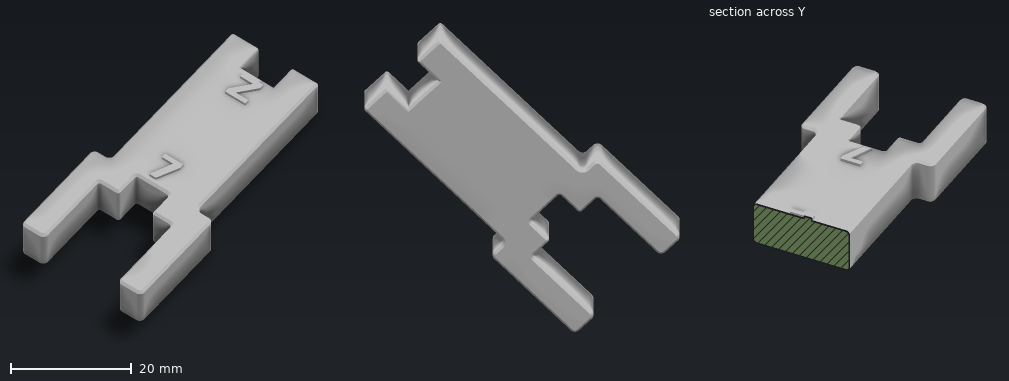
import cadquery as cq
import math

plate_thickness = 8.0
total_length = 53.6
handle_width = 18.0

fork_width = 25.0
fork_length = 20.0
fork_gap_width = 15.2
fork_gap_depth = 15.0

inner_slot_width = 6.9
inner_slot_depth = 4.8
end_slot_width = 6.8
end_slot_depth = 5.1

edge_chamfer = 0.45
arm_corner_radius = 1.0
shoulder_radius = 1.0
small_corner_radius = 0.5
end_slot_edge_radius = 0.65
slot_mouth_radius = 0.45

mark_height = 0.5
mark_size = 5.0
mark_stroke = 0.9
mark_diagonal_width = 1.5
mark_left = -2.05
seven_base = 20.9
seven_top_width = 3.8
seven_foot_left = 0.5
seven_foot_width = 1.35
letter_base = 42.4
letter_width = 4.2

inner_slot_end = fork_gap_depth + inner_slot_depth
end_slot_start = total_length - end_slot_depth


def centred_block(width, y_start, y_end):
    """Full-thickness block, symmetric about X = 0."""
    block = cq.Workplane("XY", origin=(0, y_start, 0))
    return block.box(width, y_end - y_start, plate_thickness, centered=(True, False, False))


def corner_edges(half_width, y):
    """Select the two upright edges mirrored about X = 0, by their midpoints."""
    reach = 0.1

    def box_around(x):
        low = (x - reach, y - reach, 0)
        high = (x + reach, y + reach, plate_thickness)
        return cq.selectors.BoxSelector(low, high)

    return box_around(-half_width) + box_around(half_width)


def make_plate():
    """Handle and fork with rounded upright corners and bevelled faces, without the end slot."""
    plate = centred_block(handle_width, fork_gap_depth, total_length)
    plate = plate.union(centred_block(fork_width, 0, fork_length))
    plate = plate.cut(centred_block(fork_gap_width, 0, fork_gap_depth))
    plate = plate.cut(centred_block(inner_slot_width, 0, inner_slot_end))
    rounded_corners = (
        (fork_width, 0, arm_corner_radius),
        (fork_gap_width, 0, arm_corner_radius),
        (fork_width, fork_length, arm_corner_radius),
        (handle_width, fork_length, shoulder_radius),
        (fork_gap_width, fork_gap_depth, small_corner_radius),
        (inner_slot_width, fork_gap_depth, small_corner_radius),
        (inner_slot_width, inner_slot_end, small_corner_radius),
        (handle_width, total_length, small_corner_radius),
    )
    for width, y, radius in rounded_corners:
        plate = plate.edges(corner_edges(width / 2, y)).fillet(radius)
    return plate.faces("<Z or >Z").edges().chamfer(edge_chamfer)


def make_end_slot_cutter():
    """Slot volume whose side walls round out, and whose floor bevels out, to both faces."""
    half_width = end_slot_width / 2
    mouth_half_width = half_width + end_slot_edge_radius
    wall_top = plate_thickness - end_slot_edge_radius
    wall_bottom = end_slot_edge_radius
    bend = end_slot_edge_radius * (1 - math.sqrt(0.5))
    cross_section = (
        cq.Workplane("XZ", origin=(0, total_length, 0))
        .moveTo(-mouth_half_width, plate_thickness)
        .lineTo(mouth_half_width, plate_thickness)
        .threePointArc((half_width + bend, plate_thickness - bend), (half_width, wall_top))
        .lineTo(half_width, wall_bottom)
        .threePointArc((half_width + bend, bend), (mouth_half_width, 0))
        .lineTo(-mouth_half_width, 0)
        .threePointArc((-half_width - bend, bend), (-half_width, wall_bottom))
        .lineTo(-half_width, wall_top)
        .threePointArc((-half_width - bend, plate_thickness - bend), (-mouth_half_width, plate_thickness))
        .close()
        .extrude(end_slot_depth + edge_chamfer)
    )
    long_section = (
        cq.Workplane("YZ")
        .polyline(
            [
                (total_length, 0),
                (end_slot_start - edge_chamfer, 0),
                (end_slot_start, edge_chamfer),
                (end_slot_start, plate_thickness - edge_chamfer),
                (end_slot_start - edge_chamfer, plate_thickness),
                (total_length, plate_thickness),
            ]
        )
        .close()
        .extrude(mouth_half_width, both=True)
    )
    return cross_section.intersect(long_section)


def raise_mark(outline, base):
    """Extrude a mark, sunk by its own height into the plate so that it joins."""
    return (
        cq.Workplane("XY", origin=(mark_left, base, plate_thickness - mark_height))
        .polyline(outline)
        .close()
        .extrude(2 * mark_height)
    )


def make_seven():
    bar_bottom = mark_size - mark_stroke
    outline = [
        (0, mark_size),
        (seven_top_width, mark_size),
        (seven_top_width, bar_bottom),
        (seven_foot_left + seven_foot_width, 0),
        (seven_foot_left, 0),
        (seven_top_width - mark_diagonal_width, bar_bottom),
        (0, bar_bottom),
    ]
    return raise_mark(outline, seven_base)


def make_letter_z():
    bar_bottom = mark_size - mark_stroke
    outline = [
        (0, mark_size),
        (letter_width, mark_size),
        (letter_width, bar_bottom),
        (mark_diagonal_width, mark_stroke),
        (letter_width, mark_stroke),
        (letter_width, 0),
        (0, 0),
        (0, mark_stroke),
        (letter_width - mark_diagonal_width, bar_bottom),
        (0, bar_bottom),
    ]
    return raise_mark(outline, letter_base)


def round_slot_mouth(plate):
    """Round the upright edges where the end slot opens through the handle end."""
    return plate.edges(corner_edges(end_slot_width / 2, total_length)).fillet(slot_mouth_radius)


slotted_plate = round_slot_mouth(make_plate().cut(make_end_slot_cutter()))
result = slotted_plate.union(make_seven()).union(make_letter_z())